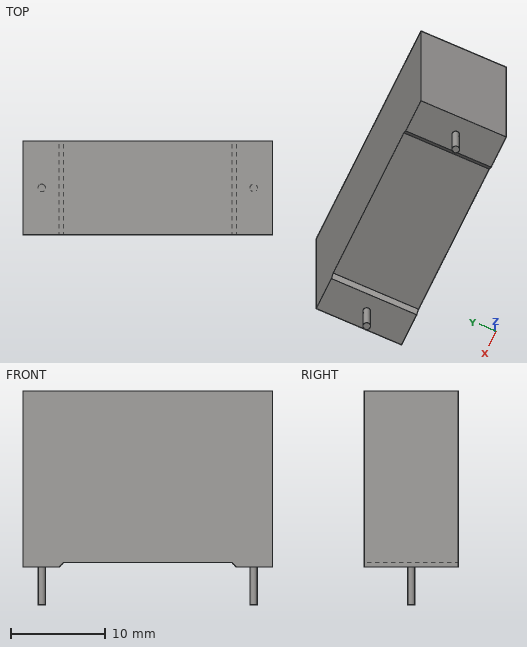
import cadquery as cq

case_length = 26.5
case_depth = 10.0
case_height = 18.7

relief_depth = 0.48
foot_length = 3.85
relief_top_length = case_length - 2 * (foot_length + relief_depth)

pin_diameter = 0.8
pin_length = 4.0
pin_pitch = 22.5
pin_embed = 1.32


def make_case():
    """Block standing on Z = 0, with a relief cut through its underside from front to back."""
    half_length = case_length / 2
    foot_inner = half_length - foot_length
    relief_half = relief_top_length / 2
    outline = [
        (-half_length, 0),
        (-foot_inner, 0),
        (-relief_half, relief_depth),
        (relief_half, relief_depth),
        (foot_inner, 0),
        (half_length, 0),
        (half_length, case_height),
        (-half_length, case_height),
    ]
    return cq.Workplane("XZ").polyline(outline).close().extrude(case_depth / 2, both=True)


def make_pins():
    """Two lead pins hanging below the feet, on the centre line of the case."""
    pin_places = [(-pin_pitch / 2, 0), (pin_pitch / 2, 0)]
    return (
        cq.Workplane("XY")
        .workplane(offset=-pin_length)
        .pushPoints(pin_places)
        .circle(pin_diameter / 2)
        .extrude(pin_length + pin_embed)
    )


result = make_case().union(make_pins())